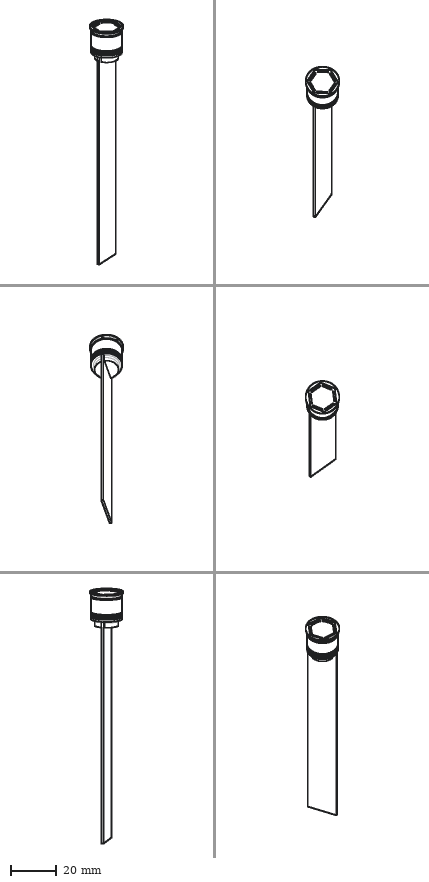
import cadquery as cq
import math

TOTAL_HEIGHT = 112.5

FLANGE_RADIUS = 7.48
FLANGE_THICKNESS = 0.5
BARREL_RADIUS = 7.0
BARREL_BOTTOM = -12.4
NECK_RADIUS = 5.3
NECK_BOTTOM = -15.3
FLANGE_FILLET = 0.5
NECK_FILLET = 0.7

V_GROOVE_CENTER = -2.1
V_GROOVE_HALF_WIDTH = 0.3
V_GROOVE_DEPTH = 0.1

SEAL_TOP = -9.0
SEAL_BOTTOM = -11.4
SEAL_INNER_RADIUS = 5.8
SEAL_GROOVE_COUNT = 3
SEAL_GROOVE_DEPTH = 0.1

RECESS_ACROSS_FLATS = 11.8
ISLAND_ACROSS_FLATS = 9.8
RECESS_DEPTH = 0.6
SLOT_OUTER_RADIUS = 5.7
SLOT_LENGTH = 4.6
SLOT_DEPTH = 0.8
SIDES = 6

BLADE_THICKNESS = 1.0
BLADE_WIDTH = 2 * BARREL_RADIUS


def hexagon_radius(across_flats):
    return across_flats / math.sqrt(3)


def hexagon_prism(across_flats, depth):
    """Hexagonal prism hanging from Z = 0, with corners on the Y axis."""
    return (
        cq.Workplane("XY")
        .polygon(SIDES, 2 * hexagon_radius(across_flats))
        .extrude(-depth)
        .rotate((0, 0, 0), (0, 0, 1), 180 / SIDES)
    )


def revolve_about_z(profile):
    return profile.close().revolve(360, (0, 0, 0), (0, 1, 0))


def make_cap_blank():
    flange_underside = -FLANGE_THICKNESS
    profile = (
        cq.Workplane("XZ")
        .lineTo(FLANGE_RADIUS, 0)
        .lineTo(FLANGE_RADIUS, flange_underside)
        .lineTo(BARREL_RADIUS + FLANGE_FILLET, flange_underside)
        .radiusArc((BARREL_RADIUS, flange_underside - FLANGE_FILLET), -FLANGE_FILLET)
        .lineTo(BARREL_RADIUS, BARREL_BOTTOM)
        .lineTo(NECK_RADIUS + NECK_FILLET, BARREL_BOTTOM)
        .radiusArc((NECK_RADIUS, BARREL_BOTTOM - NECK_FILLET), -NECK_FILLET)
        .lineTo(NECK_RADIUS, NECK_BOTTOM)
        .lineTo(0, NECK_BOTTOM)
    )
    return revolve_about_z(profile)


def make_v_groove():
    profile = (
        cq.Workplane("XZ")
        .moveTo(BARREL_RADIUS, V_GROOVE_CENTER + V_GROOVE_HALF_WIDTH)
        .lineTo(BARREL_RADIUS - V_GROOVE_DEPTH, V_GROOVE_CENTER)
        .lineTo(BARREL_RADIUS, V_GROOVE_CENTER - V_GROOVE_HALF_WIDTH)
    )
    return revolve_about_z(profile)


def make_drive_recess():
    """Hexagonal pocket with six slots in its floor, straight inside and round outside."""
    recess = hexagon_prism(RECESS_ACROSS_FLATS, RECESS_DEPTH)
    slot_bottom = RECESS_DEPTH + SLOT_DEPTH
    disc = cq.Workplane("XY").circle(SLOT_OUTER_RADIUS).extrude(-slot_bottom)
    strip = (
        cq.Workplane("XY", origin=(ISLAND_ACROSS_FLATS / 2, 0, 0))
        .rect(SLOT_OUTER_RADIUS, SLOT_LENGTH)
        .extrude(-slot_bottom)
        .cut(hexagon_prism(ISLAND_ACROSS_FLATS, slot_bottom))
    )
    slot = strip.intersect(disc)
    for side in range(SIDES):
        recess = recess.union(slot.rotate((0, 0, 0), (0, 0, 1), side * 360 / SIDES))
    return recess


def make_blade():
    length = TOTAL_HEIGHT + BARREL_BOTTOM
    return (
        cq.Workplane("XY", origin=(0, 0, BARREL_BOTTOM))
        .rect(BLADE_THICKNESS, BLADE_WIDTH)
        .extrude(-length)
    )


def make_seal_ring():
    pitch = (SEAL_TOP - SEAL_BOTTOM) / SEAL_GROOVE_COUNT
    profile = (
        cq.Workplane("XZ")
        .moveTo(SEAL_INNER_RADIUS, SEAL_TOP)
        .lineTo(BARREL_RADIUS, SEAL_TOP)
    )
    for groove in range(SEAL_GROOVE_COUNT):
        groove_top = SEAL_TOP - groove * pitch
        profile = (
            profile
            .lineTo(BARREL_RADIUS - SEAL_GROOVE_DEPTH, groove_top - pitch / 2)
            .lineTo(BARREL_RADIUS, groove_top - pitch)
        )
    return revolve_about_z(profile.lineTo(SEAL_INNER_RADIUS, SEAL_BOTTOM))


def make_seal_seat():
    """Square-cornered groove in the barrel that the seal ring fills."""
    height = SEAL_TOP - SEAL_BOTTOM
    return (
        cq.Workplane("XY", origin=(0, 0, SEAL_BOTTOM))
        .circle(BARREL_RADIUS)
        .circle(SEAL_INNER_RADIUS)
        .extrude(height)
    )


blade = make_blade()
seal_ring = make_seal_ring()
cap = (
    make_cap_blank()
    .cut(make_v_groove())
    .cut(make_seal_seat())
    .cut(make_drive_recess())
    .cut(blade)
)

result = cq.Compound.makeCompound([cap.val(), seal_ring.val(), blade.val()])